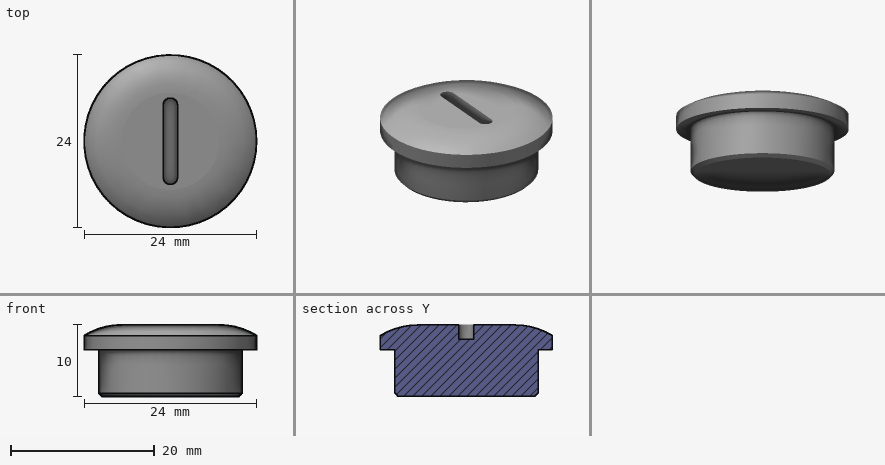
import cadquery as cq
import math

body_radius = 10.0
body_height = 6.5
body_chamfer = 0.5

flange_radius = 12.0
flange_thickness = 2.0
dome_height = 1.5
dome_arc_radius = 10.0

slot_length = 12.0
slot_width = 2.0
slot_depth = 2.0

rim_z = body_height + flange_thickness
top_z = rim_z + dome_height

arc_center_z = top_z - dome_arc_radius
flat_radius = flange_radius - math.sqrt(dome_arc_radius**2 - (rim_z - arc_center_z) ** 2)


def make_plug():
    """Revolve the half profile of body, flange and dome about the Z axis."""
    rim_angle = math.asin((rim_z - arc_center_z) / dome_arc_radius)
    middle_angle = (rim_angle + math.pi / 2) / 2
    arc_middle = (
        flat_radius + dome_arc_radius * math.cos(middle_angle),
        arc_center_z + dome_arc_radius * math.sin(middle_angle),
    )
    profile = (
        cq.Workplane("XZ")
        .moveTo(0, 0)
        .lineTo(body_radius - body_chamfer, 0)
        .lineTo(body_radius, body_chamfer)
        .lineTo(body_radius, body_height)
        .lineTo(flange_radius, body_height)
        .lineTo(flange_radius, rim_z)
        .threePointArc(arc_middle, (flat_radius, top_z))
        .lineTo(0, top_z)
        .close()
    )
    return profile.revolve(360, (0, 0, 0), (0, 1, 0))


def make_slot():
    """Round-ended slot, sunk from the top face."""
    return (
        cq.Workplane("XY")
        .workplane(offset=top_z)
        .slot2D(slot_length, slot_width, angle=90)
        .extrude(-slot_depth)
    )


result = make_plug().cut(make_slot())